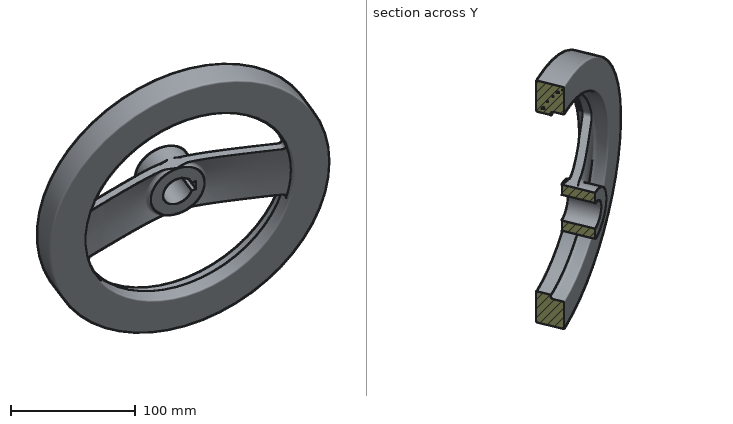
import cadquery as cq
import math


rim_radius = 250 / 2
rim_front = 26.5
rim_back = 51.0
recess_radius = 192.62 / 2
opening_radius = 185 / 2
rim_rounding = 1.5
recess_fillet = 2.5

hub_radius = 48 / 2
hub_back = 29.0
hub_fillet = 2.5
bore_radius = 26 / 2
key_width = 8.0
key_reach = 16.3

cone_angle = 17.0
web_front_at_hub = 17.0
web_back_at_hub = 25.0
spoke_half_width = hub_radius
window_corner_radius = 3.0
window_end = rim_back - 2 * rim_rounding


def cone_x(x_at_hub, radius):
    """X of a web face at the given radius."""
    return x_at_hub + (radius - hub_radius) * math.tan(math.radians(cone_angle))


recess_floor = cone_x(web_front_at_hub, recess_radius)
web_back_at_rim = cone_x(web_back_at_hub, opening_radius)


def fillet_rings(body, rings, fillet_radius):
    """Fillet the full circles given as (x, radius) pairs."""
    def is_wanted(edge):
        if edge.geomType() != "CIRCLE":
            return False
        return any(
            math.isclose(edge.arcCenter().x, x, abs_tol=1e-3)
            and math.isclose(edge.radius(), radius, abs_tol=1e-3)
            for x, radius in rings
        )

    return body.newObject(body.edges().filter(is_wanted).vals()).fillet(fillet_radius)


def make_turned_body():
    """Hub, conical web and rim as one body of revolution."""
    body = (
        cq.Workplane("XY")
        .moveTo(0, bore_radius)
        .lineTo(0, hub_radius)
        .lineTo(web_front_at_hub, hub_radius)
        .lineTo(recess_floor, recess_radius)
        .lineTo(rim_front, recess_radius)
        .lineTo(rim_front, rim_radius)
        .lineTo(rim_back, rim_radius)
        .lineTo(rim_back, opening_radius)
        .lineTo(web_back_at_rim, opening_radius)
        .lineTo(web_back_at_hub, hub_radius)
        .lineTo(hub_back, hub_radius)
        .lineTo(hub_back, bore_radius)
        .close()
        .revolve(360, (0, 0, 0), (1, 0, 0))
    )
    hub_corners = [(web_front_at_hub, hub_radius), (web_back_at_hub, hub_radius)]
    rim_corners = [
        (rim_front, rim_radius),
        (rim_back, rim_radius),
        (rim_front, recess_radius),
        (rim_back, opening_radius),
    ]
    body = fillet_rings(body, hub_corners, hub_fillet)
    body = fillet_rings(body, [(recess_floor, recess_radius)], recess_fillet)
    return fillet_rings(body, rim_corners, rim_rounding)


def make_window(side):
    """Circular-segment cutter above (side = 1) or below (side = -1) the spokes."""
    half_chord = math.sqrt(opening_radius**2 - spoke_half_width**2)
    chord_z = side * spoke_half_width
    return (
        cq.Workplane("YZ")
        .moveTo(-half_chord, chord_z)
        .threePointArc((0, side * opening_radius), (half_chord, chord_z))
        .close()
        .extrude(window_end)
        .edges("|X")
        .fillet(window_corner_radius)
    )


def make_keyway():
    """Slot along the bore on its +Y side."""
    return cq.Workplane("XY").box(hub_back, key_reach, key_width, centered=(False, False, True))


result = make_turned_body()
for side in (1, -1):
    result = result.cut(make_window(side))
result = result.cut(make_keyway())